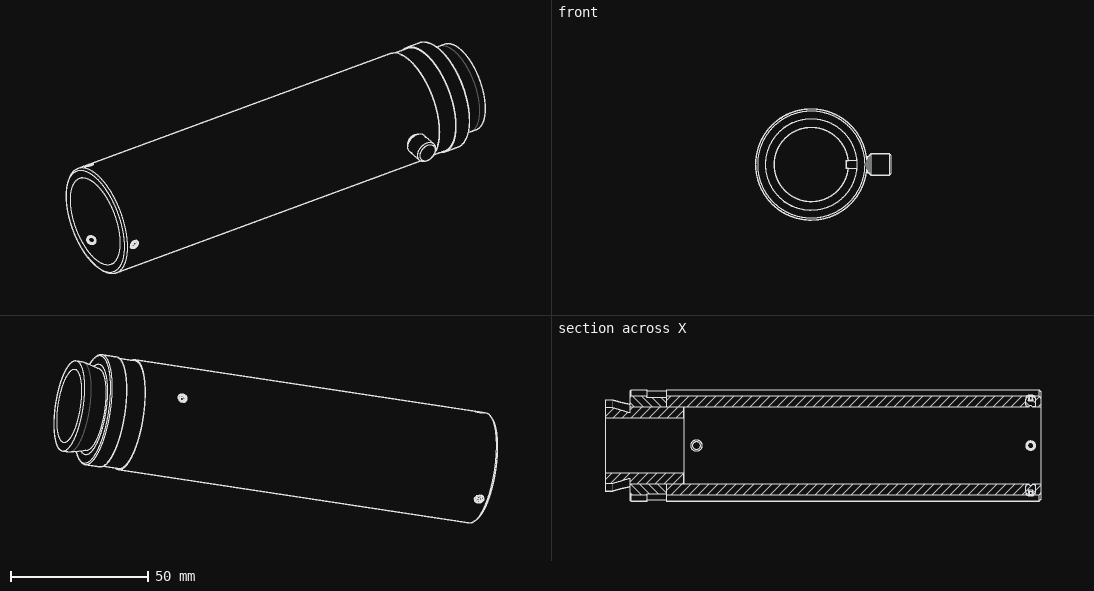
import cadquery as cq
import math

TUBE_D = 40.6
BORE_D = 33.3
TUBE_LENGTH = 136.5
MOUTH_CHAMFER = 0.8

BAND_D = 39.8
BAND_LENGTH = 7.1
COLLAR_END = 149.8
COLLAR_CHAMFER = 0.5

TOTAL_LENGTH = 158.7
SLEEVE_BORE_D = 27.0
SLEEVE_START = 130.2
CUP_ROOT_D = 30.2
CUP_RIM_D = BORE_D
CUP_RIM_LENGTH = 2.5

THUMB_Y = 125.5
THUMB_HEAD_D = 8.0
THUMB_HEAD_LENGTH = 8.0
THUMB_HEAD_CHAMFER = 0.6
THUMB_HEAD_END = 29.0
THUMB_NECK_D = 6.0
THUMB_SHANK_D = 4.1
THUMB_PIN_D = 2.9
THUMB_PIN_TIP = 12.7

MOUTH_SCREW_D = 3.5
MOUTH_SCREW_Y = 3.8
MOUTH_SCREW_COUNT = 3
LOCK_SCREW_D = 3.3
LOCK_SCREW_Y = 122.0
LOCK_SCREW_ANGLE = 180.0
SCREW_CHAMFER = 0.3
SCREW_RECESS = 0.3
SOCKET_WIDTH = 1.7
SOCKET_DEPTH = 1.3
CUP_POINT_D = 2.2
CUP_POINT_DEPTH = 1.1

TUBE_R = TUBE_D / 2
BORE_R = BORE_D / 2
SCREW_OUTER_R = TUBE_R - SCREW_RECESS
SCREW_LENGTH = SCREW_OUTER_R - BORE_R

SET_SCREWS = [
    (MOUTH_SCREW_D, MOUTH_SCREW_Y, i * 360 / MOUTH_SCREW_COUNT)
    for i in range(MOUTH_SCREW_COUNT)
]
SET_SCREWS.append((LOCK_SCREW_D, LOCK_SCREW_Y, LOCK_SCREW_ANGLE))


def axial_cylinder(diameter, start, end):
    """Cylinder on the Y axis between two y positions."""
    return cq.Workplane("XZ", origin=(0, start, 0)).circle(diameter / 2).extrude(start - end)


def radial_plane(radius, y, angle):
    """Workplane facing outward at a radius, y and angle from +X towards +Z."""
    direction = cq.Vector(math.cos(math.radians(angle)), 0, math.sin(math.radians(angle)))
    origin = direction * radius + cq.Vector(0, y, 0)
    return cq.Workplane(cq.Plane(origin=origin, xDir=(0, 1, 0), normal=direction))


def radial_hole(diameter, y, angle):
    """Cutter for a hole through one wall of the tube."""
    return radial_plane(0, y, angle).circle(diameter / 2).extrude(TUBE_D)


def make_tube():
    body = axial_cylinder(TUBE_D, 0, TUBE_LENGTH).faces("<Y").chamfer(MOUTH_CHAMFER)
    body = body.cut(axial_cylinder(BORE_D, 0, TUBE_LENGTH))
    body = body.cut(radial_hole(THUMB_SHANK_D, THUMB_Y, 0))
    for diameter, y, angle in SET_SCREWS:
        body = body.cut(radial_hole(diameter, y, angle))
    return body


def make_collar():
    band_end = TUBE_LENGTH + BAND_LENGTH
    ring = axial_cylinder(TUBE_D, band_end, COLLAR_END).faces(">Y").chamfer(COLLAR_CHAMFER)
    ring = ring.union(axial_cylinder(BAND_D, TUBE_LENGTH, band_end))
    return ring.cut(axial_cylinder(BORE_D, TUBE_LENGTH, COLLAR_END))


def make_eyepiece():
    root_r = CUP_ROOT_D / 2
    rim_r = CUP_RIM_D / 2
    rim_start = TOTAL_LENGTH - CUP_RIM_LENGTH
    profile = (
        cq.Workplane("XY")
        .moveTo(SLEEVE_BORE_D / 2, SLEEVE_START)
        .lineTo(BORE_R, SLEEVE_START)
        .lineTo(BORE_R, COLLAR_END)
        .lineTo(root_r, COLLAR_END)
        .lineTo(rim_r, rim_start)
        .lineTo(rim_r, TOTAL_LENGTH)
        .lineTo(SLEEVE_BORE_D / 2, TOTAL_LENGTH)
        .close()
    )
    return profile.revolve(360, (0, 0, 0), (0, 1, 0))


def make_thumbscrew():
    head_start = THUMB_HEAD_END - THUMB_HEAD_LENGTH
    screw = radial_plane(head_start, THUMB_Y, 0).circle(THUMB_HEAD_D / 2).extrude(THUMB_HEAD_LENGTH)
    screw = screw.faces("<X or >X").chamfer(THUMB_HEAD_CHAMFER)
    neck = radial_plane(TUBE_R, THUMB_Y, 0).circle(THUMB_NECK_D / 2).extrude(head_start - TUBE_R)
    shank = radial_plane(BORE_R, THUMB_Y, 0).circle(THUMB_SHANK_D / 2).extrude(TUBE_R - BORE_R)
    pin_length = BORE_R - THUMB_PIN_TIP
    pin = radial_plane(THUMB_PIN_TIP, THUMB_Y, 0).circle(THUMB_PIN_D / 2).extrude(pin_length)
    return screw.union(neck).union(shank).union(pin)


def make_set_screw(diameter, y, angle):
    """Headless screw ending at the bore, with chamfered ends, a hexagon socket and a conical cup point."""
    screw = radial_plane(BORE_R, y, angle).circle(diameter / 2).extrude(SCREW_LENGTH)
    screw = screw.edges("%CIRCLE").chamfer(SCREW_CHAMFER)
    socket_corner_d = SOCKET_WIDTH / math.cos(math.pi / 6)
    socket = radial_plane(SCREW_OUTER_R, y, angle).polygon(6, socket_corner_d).extrude(-SOCKET_DEPTH)
    inner_end = radial_plane(BORE_R, y, angle).plane
    cup_point = cq.Solid.makeCone(CUP_POINT_D / 2, 0, CUP_POINT_DEPTH, inner_end.origin, inner_end.zDir)
    return screw.cut(socket).cut(cq.Workplane(cup_point))


tube = make_tube()
collar = make_collar()
eyepiece = make_eyepiece()
thumbscrew = make_thumbscrew()
set_screws = [make_set_screw(*placement) for placement in SET_SCREWS]

result = cq.Compound.makeCompound([
    tube.val(),
    collar.val(),
    eyepiece.val(),
    thumbscrew.val(),
    *[screw.val() for screw in set_screws],
])